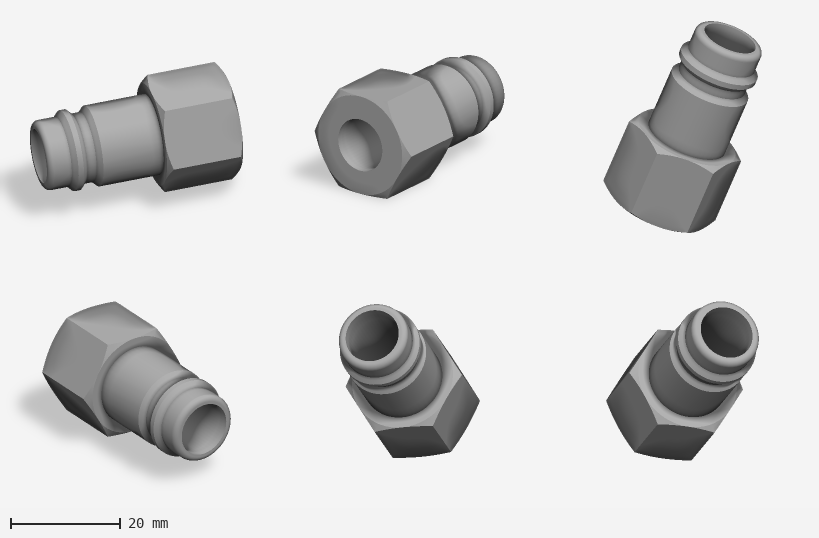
import cadquery as cq
import math

total_length = 36.0
across_flats = 19.0
hex_length = 14.5
hex_chamfer_angle = 30.0
body_radius = 7.52
neck_radius = 6.5
bore_radius = 5.0
tip_fillet = 1.0

collar_start = 4.3
collar_land = 1.0
groove_floor = 1.7

slope = body_radius - neck_radius
collar_land_start = collar_start + slope
collar_land_end = collar_land_start + collar_land
groove_start = collar_land_end + slope
groove_end = groove_start + groove_floor
body_start = groove_end + slope
hex_start = total_length - hex_length

across_corners = across_flats / math.cos(math.radians(30))
flat_radius = across_flats / 2
corner_radius = across_corners / 2
hex_chamfer = (corner_radius - flat_radius) * math.tan(math.radians(hex_chamfer_angle))


def revolve_profile(points):
    """Revolve (radius, distance from tip) points about the Y axis."""
    return cq.Workplane("XY").polyline(points).close().revolve(360, (0, 0, 0), (0, 1, 0))


def make_hex():
    """Hexagon with corners on the X axis and both ends chamfered conically."""
    prism = (
        cq.Workplane("XZ", origin=(0, total_length, 0))
        .polygon(6, across_corners)
        .extrude(hex_length)
    )
    chamfer_envelope = revolve_profile([
        (0, hex_start),
        (flat_radius, hex_start),
        (corner_radius, hex_start + hex_chamfer),
        (corner_radius, total_length - hex_chamfer),
        (flat_radius, total_length),
        (0, total_length),
    ])
    return prism.intersect(chamfer_envelope)


def make_plug():
    """Stepped plug with a collar, a groove and a rounded tip."""
    plug = revolve_profile([
        (0, 0),
        (neck_radius, 0),
        (neck_radius, collar_start),
        (body_radius, collar_land_start),
        (body_radius, collar_land_end),
        (neck_radius, groove_start),
        (neck_radius, groove_end),
        (body_radius, body_start),
        (body_radius, hex_start),
        (0, hex_start),
    ])
    return plug.faces("<Y").edges().fillet(tip_fillet)


bore = cq.Workplane("XZ").circle(bore_radius).extrude(-total_length)

result = make_hex().union(make_plug()).cut(bore).translate((0, -total_length / 2, 0))